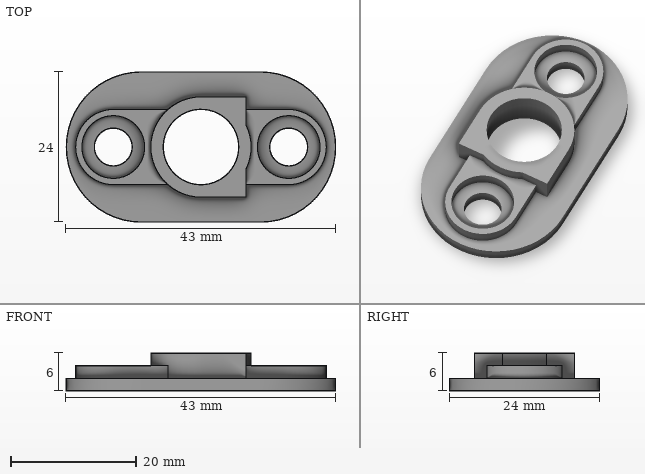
import cadquery as cq

length = 43.0
width = 24.0
height = 6.0
layer = height / 3

pad_width = width / 2
screw_spacing = 28.0
screw_diameter = pad_width / 2
recess_diameter = 10.0
recess_depth = layer

boss_diameter = 16.0
bore_diameter = width / 2
corner_block_length = 7.2


def cylinder(diameter, top):
    """Upright cylinder on the Z axis, from the base to the given height."""
    return cq.Workplane("XY").circle(diameter / 2).extrude(top)


def rounded_plate(plate_length, plate_width, top):
    """Plate with semicircular ends, from the base to the given height."""
    return cq.Workplane("XY").slot2D(plate_length, plate_width).extrude(top)


def boss():
    """Round boss joined to a block that squares off its +X side."""
    block = cq.Workplane("XY").box(
        corner_block_length, boss_diameter, height, centered=(False, True, False)
    )
    return cylinder(boss_diameter, height).union(block)


plate = rounded_plate(length, width, layer)
pad = rounded_plate(screw_spacing + pad_width, pad_width, 2 * layer)

result = plate.union(pad)
for side in (-1, 1):
    screw_center = (side * screw_spacing / 2, 0, 0)
    recess_center = (side * screw_spacing / 2, 0, 2 * layer - recess_depth)
    result = result.cut(cylinder(screw_diameter, height).translate(screw_center))
    result = result.cut(cylinder(recess_diameter, recess_depth).translate(recess_center))

result = result.union(boss())
result = result.cut(cylinder(bore_diameter, height))